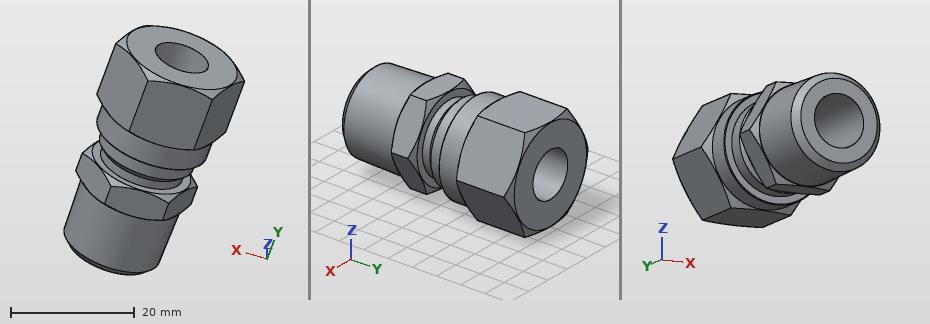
import cadquery as cq
import math

end_chamfer_length = 1.23
thread_end = 11.48
body_hex_end = 16.47
neck_end = 17.95
shoulder_start = 19.0
collar_start = 21.7
nut_hex_start = 25.7
total_length = 37.27

bore_radius = 4.5
thread_tip_radius = 7.0
thread_small_radius = 8.15
thread_large_radius = 8.45
neck_radius = 6.97
shoulder_radius = 8.0
collar_radius = 9.4
collar_chamfer = 0.15

body_hex_flats = 17.0
nut_hex_flats = 19.0
corner_angle = 30.0
face_inset = 0.1


def revolve_profile(points):
    """Revolve (radius, position) points around the Y axis."""
    return cq.Workplane("XY").polyline(points).close().revolve(360, (0, 0, 0), (0, 1, 0))


def chamfered_hex(start, end, flats):
    """Hexagon with corners on X, trimmed by cones that just cut into the flats at both ends."""
    corner_diameter = flats / math.cos(math.radians(30))
    corner_radius = corner_diameter / 2
    face_radius = flats / 2 - face_inset
    drop = (corner_radius - face_radius) * math.tan(math.radians(corner_angle))
    prism = (
        cq.Workplane("XZ", origin=(0, start, 0))
        .polygon(6, corner_diameter)
        .extrude(start - end)
    )
    envelope = revolve_profile([
        (0, start),
        (face_radius, start),
        (corner_radius, start + drop),
        (corner_radius, end - drop),
        (face_radius, end),
        (0, end),
    ])
    return prism.intersect(envelope)


core = revolve_profile([
    (0, 0),
    (thread_tip_radius, 0),
    (thread_small_radius, end_chamfer_length),
    (thread_large_radius, thread_end),
    (neck_radius, thread_end),
    (neck_radius, neck_end),
    (shoulder_radius, shoulder_start),
    (shoulder_radius, collar_start),
    (collar_radius - collar_chamfer, collar_start),
    (collar_radius, collar_start + collar_chamfer),
    (collar_radius, nut_hex_start),
    (0, nut_hex_start),
])

body_hex = chamfered_hex(thread_end, body_hex_end, body_hex_flats)
nut_hex = chamfered_hex(nut_hex_start, total_length, nut_hex_flats)

bore = cq.Workplane("XZ").circle(bore_radius).extrude(-total_length)

result = core.union(body_hex).union(nut_hex).cut(bore)